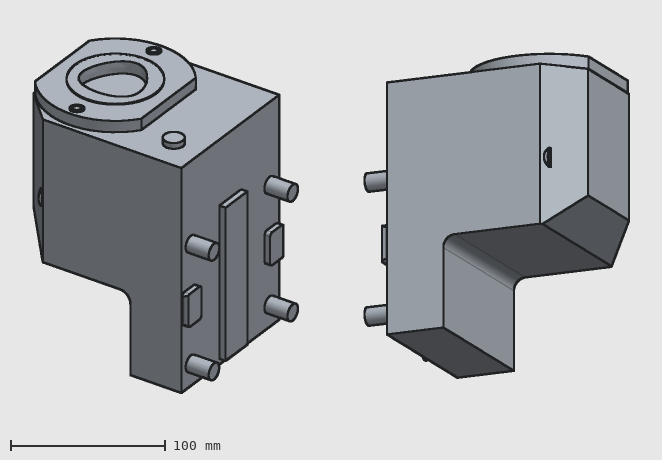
import cadquery as cq
import math


WIDTH = 112.0
FRONT_X = -42.0
BACK_X = 90.0
BOTTOM_Z = -169.2
NOSE_UNDERSIDE_Z = -107.5
LEG_THICKNESS = 40.0
INNER_CORNER_RADIUS = 8.0
NOSE_SIDE_BEVEL = 23.5
NOSE_BOTTOM_BEVEL = 22.3

FLANGE_RADIUS = 52.0
FLANGE_HALF_FLATS = 41.6
FLANGE_HEIGHT = 8.5
RING_RADIUS = 31.6
RING_HEIGHT = 0.7
TOP_Z = FLANGE_HEIGHT + RING_HEIGHT

SOCKET_MEAN_RADIUS = 22.1
SOCKET_LOBE = 1.6

SEAL_OFFSET_Y = 44.0
SEAL_BASE_RADIUS = 4.8
SEAL_TOP_RADIUS = 3.5
SEAL_HOLE_RADIUS = 3.0

PLUG_X = 68.2
PLUG_Y = -32.8
PLUG_RADIUS = 7.1
PLUG_HEIGHT = 4.3

BOLT_SPACING = 90.0
BOLT_UPPER_Z = -62.3
BOLT_RADIUS = 6.0
BOLT_END_X = 108.0
BOLT_HEAD_RADIUS = 9.1
BOLT_HEAD_X = FRONT_X + 18.2
BOLT_HEAD_CHAMFER = 0.7

KEY_WIDTH = 24.8
UPRIGHT_KEY_LENGTH = 115.3
UPRIGHT_KEY_HEIGHT = 4.8
SIDE_KEY_OUTER_Y = 54.8
SIDE_KEY_INNER_Y = 39.3
SIDE_KEY_HEIGHT = 4.3
SIDE_KEY_CORNER_RADIUS = 2.3
SIDE_KEY_STRAIGHT_HEIGHT = 1.2
SIDE_KEY_END_TAPER = 0.5
KEY_CENTER_Z = BOLT_UPPER_Z - BOLT_SPACING / 2


def make_housing():
    leg_x = BACK_X - LEG_THICKNESS
    profile = (
        cq.Workplane("XZ")
        .moveTo(FRONT_X, 0)
        .lineTo(BACK_X, 0)
        .lineTo(BACK_X, BOTTOM_Z)
        .lineTo(leg_x, BOTTOM_Z)
        .lineTo(leg_x, NOSE_UNDERSIDE_Z - INNER_CORNER_RADIUS)
        .radiusArc((leg_x - INNER_CORNER_RADIUS, NOSE_UNDERSIDE_Z), -INNER_CORNER_RADIUS)
        .lineTo(FRONT_X + NOSE_BOTTOM_BEVEL, NOSE_UNDERSIDE_Z)
        .lineTo(FRONT_X, NOSE_UNDERSIDE_Z + NOSE_BOTTOM_BEVEL)
        .close()
        .extrude(WIDTH / 2, both=True)
    )
    plan = (
        cq.Workplane("XY", origin=(0, 0, BOTTOM_Z))
        .center((FRONT_X + BACK_X) / 2, 0)
        .rect(BACK_X - FRONT_X, WIDTH)
        .extrude(-BOTTOM_Z)
        .edges("|Z and <X")
        .chamfer(NOSE_SIDE_BEVEL)
    )
    return profile.intersect(plan)


def make_flange():
    disc = cq.Workplane("XY").circle(FLANGE_RADIUS).extrude(FLANGE_HEIGHT)
    flats = cq.Workplane("XY").rect(2 * FLANGE_HALF_FLATS, 2 * FLANGE_RADIUS).extrude(FLANGE_HEIGHT)
    ring = cq.Workplane("XY").circle(RING_RADIUS).extrude(TOP_Z)
    return disc.intersect(flats).union(ring)


def socket_point(turn):
    """Point on the three-lobed outline, one lobe pointing to +Y, for turn from 0 to 1."""
    angle = 2 * math.pi * turn
    x = SOCKET_MEAN_RADIUS * math.sin(angle) - SOCKET_LOBE * math.sin(2 * angle)
    y = SOCKET_MEAN_RADIUS * math.cos(angle) + SOCKET_LOBE * math.cos(2 * angle)
    return x, y


def make_socket():
    return cq.Workplane("XY").parametricCurve(socket_point, N=60).extrude(TOP_Z)


def make_seal_ring(y):
    return (
        cq.Workplane("XZ")
        .moveTo(SEAL_HOLE_RADIUS, FLANGE_HEIGHT)
        .lineTo(SEAL_BASE_RADIUS, FLANGE_HEIGHT)
        .lineTo(SEAL_TOP_RADIUS, TOP_Z)
        .lineTo(SEAL_HOLE_RADIUS, TOP_Z)
        .close()
        .revolve(360, (0, 0, 0), (0, 1, 0))
        .translate((0, y, 0))
    )


def make_bolt_shank(y, z):
    return cq.Workplane("YZ", origin=(BACK_X, y, z)).circle(BOLT_RADIUS).extrude(BOLT_END_X - BACK_X)


def make_bolt_head(y):
    """Head that stands proud of the bevelled nose; its rear is buried in the housing."""
    return (
        cq.Workplane("YZ", origin=(BOLT_HEAD_X, y, BOLT_UPPER_Z))
        .circle(BOLT_HEAD_RADIUS)
        .extrude(NOSE_SIDE_BEVEL)
        .faces("<X")
        .chamfer(BOLT_HEAD_CHAMFER)
    )


def make_upright_key():
    return (
        cq.Workplane("YZ", origin=(BACK_X, 0, KEY_CENTER_Z))
        .rect(KEY_WIDTH, UPRIGHT_KEY_LENGTH)
        .extrude(UPRIGHT_KEY_HEIGHT)
    )


def make_side_key():
    """Key near the +Y side, with rounded corners and a slightly tapered outer end."""
    block = (
        cq.Workplane("YZ", origin=(BACK_X, (SIDE_KEY_INNER_Y + SIDE_KEY_OUTER_Y) / 2, KEY_CENTER_Z))
        .rect(SIDE_KEY_OUTER_Y - SIDE_KEY_INNER_Y, KEY_WIDTH)
        .extrude(SIDE_KEY_HEIGHT)
        .edges("|X")
        .fillet(SIDE_KEY_CORNER_RADIUS)
    )
    tip_x = BACK_X + SIDE_KEY_HEIGHT
    tapered_plan = (
        cq.Workplane("XY", origin=(0, 0, KEY_CENTER_Z))
        .moveTo(BACK_X, SIDE_KEY_INNER_Y)
        .lineTo(tip_x, SIDE_KEY_INNER_Y)
        .lineTo(tip_x, SIDE_KEY_OUTER_Y - SIDE_KEY_END_TAPER)
        .lineTo(BACK_X + SIDE_KEY_STRAIGHT_HEIGHT, SIDE_KEY_OUTER_Y)
        .lineTo(BACK_X, SIDE_KEY_OUTER_Y)
        .close()
        .extrude(KEY_WIDTH / 2, both=True)
    )
    return block.intersect(tapered_plan)


plug = cq.Workplane("XY").center(PLUG_X, PLUG_Y).circle(PLUG_RADIUS).extrude(PLUG_HEIGHT)

result = make_housing().union(make_flange()).cut(make_socket()).union(plug)
result = result.union(make_upright_key())
side_key = make_side_key()
result = result.union(side_key).union(side_key.mirror("XZ"))
for side in (-1, 1):
    bolt_y = side * BOLT_SPACING / 2
    result = result.union(make_seal_ring(side * SEAL_OFFSET_Y))
    result = result.union(make_bolt_head(bolt_y))
    for bolt_z in (BOLT_UPPER_Z, BOLT_UPPER_Z - BOLT_SPACING):
        result = result.union(make_bolt_shank(bolt_y, bolt_z))